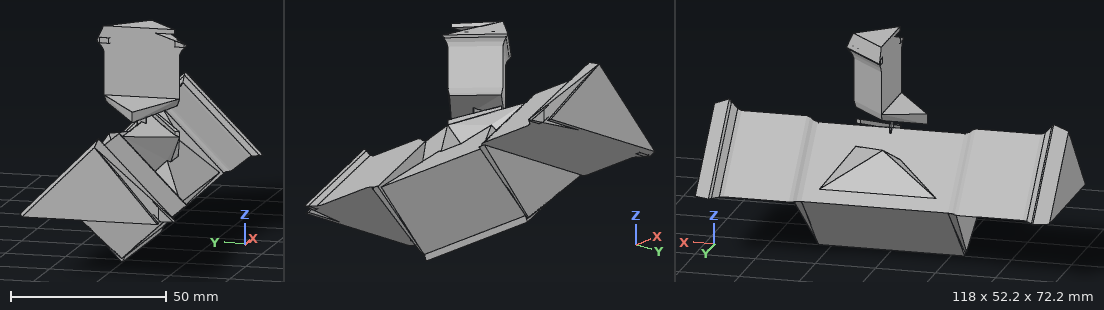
import cadquery as cq


MOUTH_RUN = 59.0
MOUTH_BRANCH = 51.5
RIM_THICKNESS = 1.5
BEAD_SETBACK = 5.0

RUN_RADIUS = 20.7
RUN_NEAR_RADIUS = 19.4
RUN_HALF = 24.4
RUN_BORE = 21.0
RUN_SOCKET = 22.5
RUN_RIM = 24.2
RUN_BEAD = 26.12

BRANCH_BORE = 11.0
BRANCH_SOCKET = 12.6
BRANCH_RIM = 12.8
BRANCH_BEAD = 15.1
BRANCH_END = 11.8
BRANCH_FOOT = 26.5
BRANCH_SHOULDER = 28.8

SEAL_COVER = 1.1
SEAL_AHEAD = 1.1
SEAL_BEHIND = 0.7

KEEL_HEIGHT = 2.1
KEEL_OFFSET = 0.9
FLANK_TOP = 27.0
FLANK_FOOT = 25.0
FLANK_DEPTH = 19.3

SADDLE_LOW = 16.3
LEFT_POCKET = (-3.5, 2.8)
COLLAR_LOW = 22.7
COLLAR_HIGH = 26.2
COLLAR_REACH = 12.0
STRIP_HEIGHT = 1.7
STRIP_END = 21.2
STRIP_END_HEIGHT = 1.5
NECK_THICKNESS = 0.5
NECK_WIDTH = 3.0
NECK_EMBED = 2.5


def polyhedron(points, loops):
    """Solid bounded by flat faces; each loop lists the point numbers round a face."""
    faces = []
    for loop in loops:
        corners = [cq.Vector(*points[i]) for i in loop]
        faces.append(cq.Face.makeFromWires(cq.Wire.makePolygon(corners, close=True)))
    return cq.Workplane(cq.Solid.makeSolid(cq.Shell.makeShell(faces)))


def pyramid(base, apex):
    """Pyramid on a flat polygon."""
    count = len(base)
    sides = [(i, (i + 1) % count, count) for i in range(count)]
    return polyhedron(base + [apex], [tuple(range(count))] + sides)


def half_diamond(distance, radius):
    """Triangular wire above Z = 0, across the X axis."""
    corners = [(-distance, radius, 0), (-distance, 0, radius), (-distance, -radius, 0)]
    return cq.Wire.makePolygon([cq.Vector(*c) for c in corners], close=True)


def half_tube(stations):
    """Half diamond tube along -X through (distance, radius) stations."""
    wires = [half_diamond(distance, radius) for distance, radius in stations]
    return cq.Workplane(cq.Solid.makeLoft(wires, True))


def seal_band(mouth, bead, bore):
    """Bent band that lies in the bead of a socket opening toward -X."""
    peak = mouth - BEAD_SETBACK
    outer = bead - SEAL_COVER
    front = peak + SEAL_AHEAD
    back = peak - SEAL_BEHIND
    band = half_tube([(front, outer), (back, outer)]).cut(half_tube([(front, bore), (back, bore)]))
    return band.cut(mouth_slot(mouth, bead))


def mouth_slot(mouth, bead):
    """Wedge on the -Y side, from the axis at the mouth to the bead corner."""
    peak = mouth - BEAD_SETBACK
    return (
        cq.Workplane("XY")
        .polyline([(-mouth, 0), (-peak, -bead), (-mouth, -bead)])
        .close()
        .extrude(bead)
    )


def socket(stations, mouth, bead, rim, bore):
    """Socket opening toward -X: beaded half tube, slot, rim plate and seal groove."""
    body = half_tube(stations).cut(mouth_slot(mouth, bead))
    plate = (
        cq.Workplane("YZ", origin=(-mouth, 0, 0))
        .polyline([(rim, 0), (0, rim), (-bore, 0)])
        .close()
        .extrude(RIM_THICKNESS)
    )
    return body.union(plate).cut(seal_band(mouth, bead, bore))


def to_branch(shape):
    """Turn a socket that opens toward -X so that it opens toward +Z."""
    return shape.rotate((0, 0, 0), (0, 1, 0), 90)


def run_middle():
    """Middle tube; its -Y half is slimmer and leaves a keel along the lower edge."""
    section = [
        (RUN_RADIUS, 0),
        (0, RUN_RADIUS),
        (-RUN_NEAR_RADIUS, 0),
        (-KEEL_OFFSET, KEEL_HEIGHT - RUN_RADIUS),
        (0, -RUN_RADIUS),
    ]
    return cq.Workplane("YZ").polyline(section).close().extrude(RUN_HALF, both=True)


def flank():
    """Sloping lower end of the middle tube, on the -X side."""
    outline = [(RUN_BORE, 0), (-RUN_BORE, 0), (0, -FLANK_DEPTH)]
    reach = [FLANK_TOP, FLANK_TOP, FLANK_FOOT]
    inner = [(-RUN_HALF, y, z) for y, z in outline]
    outer = [(-x, y, z) for x, (y, z) in zip(reach, outline)]
    return polyhedron(
        inner + outer,
        [(0, 1, 2), (3, 4, 5), (0, 1, 4, 3), (1, 2, 5), (1, 5, 4), (2, 0, 5), (0, 3, 5)],
    )


def on_run(x, height, side):
    """Point on an upper face of the middle tube; side is -1 for -Y and 1 for +Y."""
    width = RUN_RADIUS if side > 0 else RUN_NEAR_RADIUS
    return (x, side * width * (1 - height / RUN_RADIUS), height)


LEFT_RIDGE = on_run(-RUN_HALF, RUN_RADIUS, -1)
LEFT_FOLD = on_run(-6.6, 9.8, -1)
RIGHT_FOLD = on_run(14.1, 13.9, -1)
RIGHT_RIDGE = on_run(RUN_HALF, RUN_RADIUS, -1)


def saddle_folds():
    """Folded faces that rise from both upper faces of the run toward the branch."""
    near_base = [
        LEFT_RIDGE,
        LEFT_FOLD,
        on_run(-5.0, 9.0, -1),
        on_run(4.5, 9.0, -1),
        RIGHT_FOLD,
        RIGHT_RIDGE,
    ]
    far_base = [
        on_run(-19.4, 3.5, 1),
        on_run(19.4, 3.5, 1),
        on_run(10.4, 15.2, 1),
        on_run(-5.0, 12.7, 1),
    ]
    near = pyramid(near_base, (0, -BRANCH_SOCKET, SADDLE_LOW))
    far = pyramid(far_base, (0, BRANCH_BORE, SADDLE_LOW))
    return near.union(far)


def saddle_pockets():
    """Hollows beside the near fold, one at each end of the middle tube."""
    left = pyramid([LEFT_RIDGE, on_run(-RUN_HALF, 0, -1), LEFT_FOLD], (-RUN_HALF, *LEFT_POCKET))
    right = pyramid([RIGHT_FOLD, RIGHT_RIDGE, on_run(RUN_HALF, 0, -1)], (RUN_HALF, 0, 0))
    return left.union(right)


def collar():
    """Sloping collar under the branch that reaches out toward -X."""
    return polyhedron(
        [
            (0, BRANCH_SOCKET, BRANCH_SHOULDER),
            (0, -BRANCH_SOCKET, BRANCH_SHOULDER),
            (-COLLAR_REACH, 0, COLLAR_HIGH),
            (0, BRANCH_END, BRANCH_FOOT),
            (0, -BRANCH_END, BRANCH_FOOT),
            (-COLLAR_REACH, 0, COLLAR_LOW),
            (BRANCH_END, 0, BRANCH_FOOT),
        ],
        [
            (0, 1, 2),
            (0, 2, 5), (0, 5, 3),
            (1, 2, 5), (1, 5, 4),
            (3, 5, 6), (4, 5, 6),
            (3, 6, 4), (0, 3, 4, 1),
        ],
    )


def saddle_strip():
    """Narrow wall that climbs from the near fold toward +X."""
    inner = BRANCH_BORE / BRANCH_SOCKET
    start = strip_end(0, -BRANCH_SOCKET, SADDLE_LOW, STRIP_HEIGHT, inner)
    end = strip_end(BRANCH_END, 0, STRIP_END, STRIP_END_HEIGHT, inner)
    return cq.Workplane(cq.Solid.makeLoft([start, end], True))


def strip_end(x, y, low, height, inner):
    """Upright four-sided wire at one end of the strip; inner scales its near-axis side."""
    corners = [
        (x, y, low),
        (x, y, low + height),
        (x * inner, y * inner, low + height),
        (x * inner, y * inner, low),
    ]
    return cq.Wire.makePolygon([cq.Vector(*c) for c in corners], close=True)


def neck():
    """Thin web that joins the ridge of the run to the collar."""
    bottom = RUN_RADIUS - NECK_EMBED
    return (
        cq.Workplane("XY", origin=(0, 0, bottom))
        .rect(NECK_THICKNESS, NECK_WIDTH)
        .extrude(BRANCH_FOOT - bottom)
    )


run_stations = [
    (MOUTH_RUN, RUN_RIM),
    (MOUTH_RUN - BEAD_SETBACK, RUN_BEAD),
    (51.2, 23.1),
    (49.8, RUN_SOCKET),
    (28.1, RUN_SOCKET),
    (27.0, 22.1),
    (25.9, 21.2),
    (RUN_HALF, RUN_RADIUS),
]
branch_stations = [
    (MOUTH_BRANCH, BRANCH_RIM),
    (MOUTH_BRANCH - BEAD_SETBACK, BRANCH_BEAD),
    (44.4, 13.2),
    (43.0, BRANCH_SOCKET),
    (BRANCH_SHOULDER, BRANCH_SOCKET),
    (27.2, 12.1),
    (BRANCH_FOOT, BRANCH_END),
]
run_socket = socket(run_stations, MOUTH_RUN, RUN_BEAD, RUN_RIM, RUN_BORE)
branch_socket = to_branch(
    socket(branch_stations, MOUTH_BRANCH, BRANCH_BEAD, BRANCH_RIM, BRANCH_BORE)
)

tee = run_middle().cut(saddle_pockets()).union(saddle_folds())
tee = tee.union(flank()).union(flank().mirror("YZ"))
tee = tee.union(run_socket).union(run_socket.mirror("YZ"))
tee = tee.union(branch_socket).union(collar()).union(saddle_strip()).union(neck())

run_seal = seal_band(MOUTH_RUN, RUN_BEAD, RUN_BORE)
branch_seal = to_branch(seal_band(MOUTH_BRANCH, BRANCH_BEAD, BRANCH_BORE))
seals = [run_seal, run_seal.mirror("YZ"), branch_seal]

result = cq.Compound.makeCompound([body.solids().val() for body in [tee, *seals]])